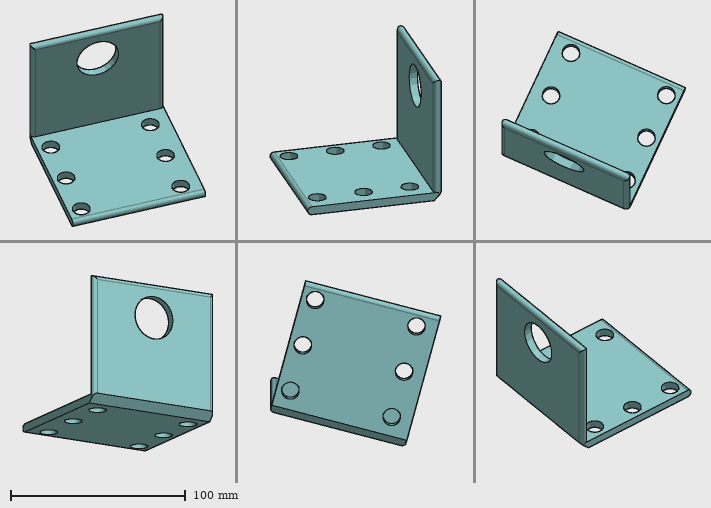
import cadquery as cq

length = 80.0
width = 80.0
height = 75.0
thickness = 5.0

edge_radius = thickness / 2
half_width = width / 2

wall_hole_diameter = 25.0
wall_hole_below_top = 20.0

base_hole_diameter = 10.0
base_hole_pitch = 27.5
base_holes_per_row = 3
last_hole_from_end = 9.0
front_row_from_side = 8.0
row_spacing = 60.0


def make_wall():
    """Upright plate with full-round top and side edges, which meet in mitred corners."""
    side_shape = (
        cq.Workplane("XZ")
        .moveTo(0, 0)
        .lineTo(0, height - edge_radius)
        .threePointArc((edge_radius, height), (thickness, height - edge_radius))
        .lineTo(thickness, 0)
        .close()
        .extrude(half_width, both=True)
    )
    plan_shape = (
        cq.Workplane("XY")
        .center(edge_radius, 0)
        .slot2D(width, thickness, 90)
        .extrude(height)
    )
    return side_shape.intersect(plan_shape)


def make_base():
    """Flat plate with square sides and a full-round far end, starting mid-way through the wall."""
    return (
        cq.Workplane("XZ")
        .moveTo(edge_radius, 0)
        .lineTo(length - edge_radius, 0)
        .threePointArc((length, edge_radius), (length - edge_radius, thickness))
        .lineTo(edge_radius, thickness)
        .close()
        .extrude(half_width, both=True)
    )


def make_corner_cut():
    """Wedge that bevels the outer bottom corner at 45 degrees over one plate thickness."""
    return (
        cq.Workplane("XZ")
        .polyline([(0, 0), (thickness, 0), (0, thickness)])
        .close()
        .extrude(half_width, both=True)
    )


def make_wall_hole():
    return (
        cq.Workplane("YZ")
        .center(0, height - wall_hole_below_top)
        .circle(wall_hole_diameter / 2)
        .extrude(thickness)
    )


def make_base_holes():
    last_x = length - last_hole_from_end
    front_y = front_row_from_side - half_width
    centres = [
        (last_x - column * base_hole_pitch, y)
        for column in range(base_holes_per_row)
        for y in (front_y, front_y + row_spacing)
    ]
    return (
        cq.Workplane("XY")
        .pushPoints(centres)
        .circle(base_hole_diameter / 2)
        .extrude(thickness)
    )


result = (
    make_wall()
    .union(make_base())
    .cut(make_corner_cut())
    .cut(make_wall_hole())
    .cut(make_base_holes())
)